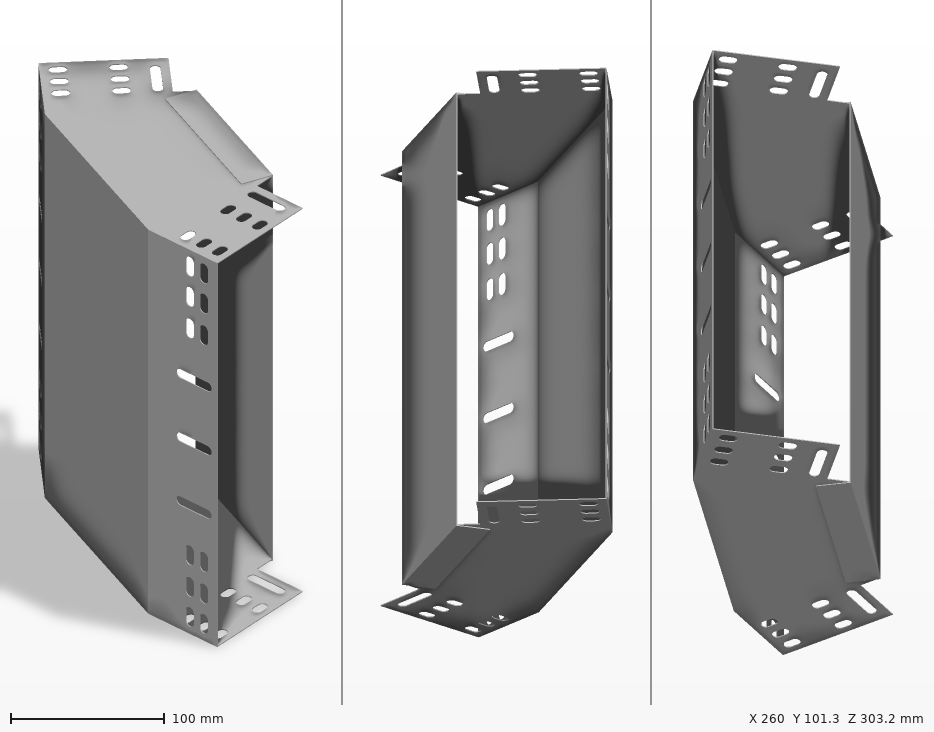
import cadquery as cq
import math

TOTAL_LENGTH = 303.2
TOTAL_WIDTH = 260.0
TOTAL_DEPTH = 101.3
SHEET = 0.7

WING_ANGLE = 22.5
WING_WIDTH = 59.5
TRAY_LENGTH = TOTAL_LENGTH - 2 * SHEET
NOTCH_OFFSET = 39.5

COVER_GAP = 0.5
COVER_LIP = 23.0
COVER_BACK = TOTAL_DEPTH - COVER_GAP

SLOT_WIDTH = 7.0
LONG_SLOT = 30.3
WALL_SLOT = 15.2
FLANGE_SLOT = 12.0

WALL_SLOT_OFFSETS = (11.5, 23.5)
WALL_SLOT_HEIGHTS = (89.0, 114.0, 137.7)
WALL_LONG_OFFSET = 20.0
WALL_LONG_PITCH = 50.0

FLANGE_SLOT_FIRST = 8.2
FLANGE_SLOT_PITCH = 13.5
FLANGE_SLOT_COLUMNS = 3
FLANGE_SLOT_HEIGHTS = (12.0, 51.8)
FLANGE_LONG_OFFSET = 23.0
FLANGE_LONG_HEIGHT = 75.5

SIN = math.sin(math.radians(WING_ANGLE))
COS = math.cos(math.radians(WING_ANGLE))
TAN = SIN / COS
HALF_WIDTH = TOTAL_WIDTH / 2
EDGE = (-HALF_WIDTH, WING_WIDTH * SIN)
FOLD = (-HALF_WIDTH + WING_WIDTH * COS, 0)
TIP = (EDGE[0] + (TOTAL_DEPTH - EDGE[1]) * TAN, TOTAL_DEPTH)
NOTCH = (TIP[0] + NOTCH_OFFSET * COS, TIP[1] - NOTCH_OFFSET * SIN)
FLANGE_BACK = COVER_BACK - SHEET
SHOULDER = (NOTCH[0] + (FLANGE_BACK - NOTCH[1]) * TAN, FLANGE_BACK)
COVER_WIDTH = -2 * SHOULDER[0]


def mirrored(points):
    """The same points on the right half, in reverse order."""
    return [(-x, y) for x, y in reversed(points)]


def prism(points, bottom, height):
    """Closed XY outline extruded upwards from the given Z."""
    return cq.Workplane("XY", origin=(0, 0, bottom)).polyline(points).close().extrude(height)


def bent_wall():
    """Middle panel and two wings, one sheet thick."""
    fold_inner = (FOLD[0] + SHEET * math.tan(math.radians(WING_ANGLE / 2)), SHEET)
    edge_inner = (EDGE[0] + SHEET * SIN, EDGE[1] + SHEET * COS)
    left = [fold_inner, edge_inner, EDGE, FOLD]
    return prism(left + mirrored(left), -TRAY_LENGTH / 2, TRAY_LENGTH)


def flange(bottom):
    """End flange with a raised middle between two notches."""
    left = [SHOULDER, NOTCH, TIP, EDGE, FOLD]
    return prism(left + mirrored(left), bottom, SHEET)


def wall_slots():
    """Cutters for the slots in the left wing."""
    short_places = [(x, side * z) for x in WALL_SLOT_OFFSETS for z in WALL_SLOT_HEIGHTS for side in (-1, 1)]
    long_places = [(WALL_LONG_OFFSET, row * WALL_LONG_PITCH) for row in (-1, 0, 1)]
    wing_face = cq.Workplane(cq.Plane(origin=(*EDGE, 0), xDir=(COS, -SIN, 0), normal=(-SIN, -COS, 0)))
    short = wing_face.pushPoints(short_places).slot2D(WALL_SLOT, SLOT_WIDTH, 90).extrude(SHEET, both=True)
    long = wing_face.pushPoints(long_places).slot2D(LONG_SLOT, SLOT_WIDTH).extrude(SHEET, both=True)
    return short.add(long).combine()


def flange_slots():
    """Cutters for the slots at the left end of both flanges."""
    columns = [FLANGE_SLOT_FIRST + i * FLANGE_SLOT_PITCH for i in range(FLANGE_SLOT_COLUMNS)]
    short_places = [(x, y) for x in columns for y in FLANGE_SLOT_HEIGHTS]
    corner = cq.Workplane(cq.Plane(origin=(*EDGE, 0), xDir=(COS, -SIN, 0), normal=(0, 0, 1)))
    short = corner.pushPoints(short_places).slot2D(FLANGE_SLOT, SLOT_WIDTH, 90)
    short = short.extrude(TRAY_LENGTH, both=True)
    long = corner.center(FLANGE_LONG_OFFSET, FLANGE_LONG_HEIGHT).slot2D(LONG_SLOT, SLOT_WIDTH)
    long = long.extrude(TRAY_LENGTH, both=True)
    return short.add(long).combine()


def make_tray():
    """Bent channel, open at the back, with slotted wings and flanges."""
    tray = bent_wall()
    for bottom in (-TRAY_LENGTH / 2, TRAY_LENGTH / 2 - SHEET):
        tray = tray.union(flange(bottom))
    for slots in (wall_slots(), flange_slots()):
        tray = tray.cut(slots).cut(slots.mirror("YZ"))
    return tray


def make_cover():
    """Back plate whose two lips lie on the outside of the tray flanges."""
    block = cq.Workplane("XY").box(COVER_WIDTH, COVER_LIP, TOTAL_LENGTH)
    inside = cq.Workplane("XY").box(COVER_WIDTH, COVER_LIP, TRAY_LENGTH).translate((0, -SHEET, 0))
    return block.cut(inside).translate((0, COVER_BACK - COVER_LIP / 2, 0))


tray = make_tray()
cover = make_cover()
result = cq.Compound.makeCompound([tray.val(), cover.val()])